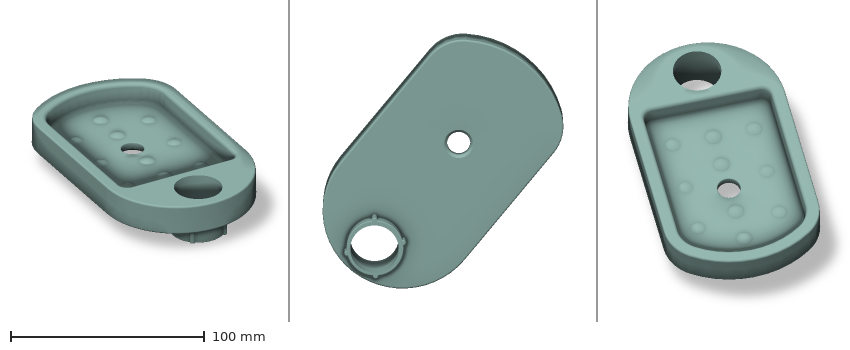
import cadquery as cq
import math


length = 142.0
width = 82.0
tray_height = 16.0
outer_draft = 1.0
outer_edge_fillet = 1.0
back_radius = 55.0
back_corner_radius = 22.0

wall = 7.0
pocket_end_x = 51.0
pocket_depth = 10.5
pocket_draft = 5.0
pocket_corner_radius = 5.0
rim_fillet = 2.0
floor_fillet = 2.0
floor_fall = 0.3

drain_radius = 6.0
drain_edge_fillet = 0.5
drain_chamfer = 1.5

dome_sphere_radius = 8.5
dome_root = 0.8
outer_dome_x = 33.5
inner_dome_x = 15.5
side_dome_x = 5.5
back_side_dome_x = -21.4
dome_row_y = 21.7
middle_domes = [
    (-outer_dome_x, 4.3),
    (-inner_dome_x, 4.1),
    (inner_dome_x, 4.15),
    (outer_dome_x, 4.4),
]
side_domes = [
    (back_side_dome_x, 3.95),
    (side_dome_x, 3.8),
    (outer_dome_x, 4.1),
]

bore_x = 69.0
bore_radius = 12.5
socket_x = 68.5
socket_radius = 14.7
socket_height = 9.0
socket_edge_fillet = 0.5
rib_radius = 1.4
rib_ring_radius = 14.75
rib_angle = 40.0

pick_margin = 0.05

half_width = width / 2
front_centre_x = length - back_radius - half_width
pocket_half_width = half_width - wall
wall_foot_z = tray_height - pocket_depth
drain_z = wall_foot_z - floor_fall
dome_floor_z = (wall_foot_z + drain_z) / 2

corner_centre_y = half_width - back_corner_radius
corner_centre_x = -math.sqrt((back_radius - back_corner_radius) ** 2 - corner_centre_y**2)
corner_angle = math.atan2(corner_centre_y, corner_centre_x)


def polar(radius, angle):
    """X and Y of a point at an angle in radians."""
    return (radius * math.cos(angle), radius * math.sin(angle))


def edges_at_height(solid, z, x_min, x_max, y_max):
    """Edges lying flat at height z inside a rectangle symmetric about the X axis."""
    low = (x_min, -y_max, z - pick_margin)
    high = (x_max, y_max, z + pick_margin)
    return solid.edges(cq.selectors.BoxSelector(low, high, boundingbox=True))


def back_outline(inset):
    """Back end from the +Y side round to the -Y side, moved inwards by inset, at the tray top."""
    mid_x, mid_y = polar(back_corner_radius - inset, (math.pi / 2 + corner_angle) / 2)
    mid_x += corner_centre_x
    mid_y += corner_centre_y
    join_x, join_y = polar(back_radius - inset, corner_angle)
    side_y = half_width - inset
    return (
        cq.Workplane("XY", origin=(0, 0, tray_height))
        .moveTo(corner_centre_x, side_y)
        .threePointArc((mid_x, mid_y), (join_x, join_y))
        .threePointArc((inset - back_radius, 0), (join_x, -join_y))
        .threePointArc((mid_x, -mid_y), (corner_centre_x, -side_y))
    )


def tray_body():
    """Drafted block with a half-round front end and rounded top and bottom edges."""
    front_tip = (front_centre_x + half_width, 0)
    body = (
        back_outline(0)
        .lineTo(front_centre_x, -half_width)
        .threePointArc(front_tip, (front_centre_x, half_width))
        .close()
        .extrude(-tray_height, taper=-outer_draft)
    )
    return body.faces("<Z or >Z").edges().fillet(outer_edge_fillet)


def pocket_walls():
    """Drafted cavity down to the foot of the wall, with two rounded front corners."""
    walls = (
        back_outline(wall)
        .lineTo(pocket_end_x, -pocket_half_width)
        .lineTo(pocket_end_x, pocket_half_width)
        .close()
        .extrude(-pocket_depth, taper=pocket_draft)
    )
    front_corners = cq.selectors.BoxSelector(
        (pocket_end_x - wall, -half_width, wall_foot_z + pick_margin),
        (pocket_end_x + wall, half_width, tray_height - pick_margin),
    )
    return walls.edges(front_corners).edges("not #Z").fillet(pocket_corner_radius)


def drain_arc(edge):
    """Arc of the drain circle lying radially inside one edge of the wall foot."""
    start = edge.startPoint()
    end = edge.endPoint()
    start_angle = math.atan2(start.y, start.x)
    turn = math.atan2(end.y, end.x) - start_angle
    sweep = (turn + math.pi) % (2 * math.pi) - math.pi
    angles = [start_angle, start_angle + sweep / 2, start_angle + sweep]
    points = [cq.Vector(*polar(drain_radius, angle), drain_z) for angle in angles]
    return cq.Edge.makeThreePointArc(*points)


def sloping_floor(wall_foot):
    """Ruled funnel from the foot of the pocket wall down to the drain circle."""
    drain_edge = cq.Wire.assembleEdges([drain_arc(edge) for edge in wall_foot])
    return cq.Workplane(cq.Solid.makeLoft([wall_foot, drain_edge], ruled=True))


def pocket():
    """Whole cavity: drafted walls, sloping floor and the fillet between them."""
    walls = pocket_walls()
    wall_foot = walls.faces("<Z").wires().val()
    cavity = walls.union(sloping_floor(wall_foot))
    return edges_at_height(cavity, wall_foot_z, -back_radius, pocket_end_x, half_width).fillet(floor_fillet)


def cut_pocket(body):
    """Sink the pocket and round its rim."""
    body = body.cut(pocket())
    rim_half_width = half_width - wall / 2
    rim = edges_at_height(
        body, tray_height, wall / 2 - back_radius, pocket_end_x + wall / 2, rim_half_width
    )
    return rim.fillet(rim_fillet)


def cut_drain(body):
    """Drill the drain hole, round its upper edge and chamfer its lower edge."""
    body = body.cut(cq.Workplane("XY").circle(drain_radius).extrude(tray_height))
    reach = 2 * drain_radius
    body = edges_at_height(body, drain_z, -reach, reach, reach).fillet(drain_edge_fillet)
    return edges_at_height(body, 0, -reach, reach, reach).chamfer(drain_chamfer)


def socket():
    """Round post with four ribs along its outside."""
    post = cq.Workplane("XY").center(socket_x, 0).circle(socket_radius).extrude(-socket_height)
    for angle in (rib_angle, 180 - rib_angle, 180 + rib_angle, 360 - rib_angle):
        rib_x, rib_y = polar(rib_ring_radius, math.radians(angle))
        rib = cq.Workplane("XY").center(socket_x + rib_x, rib_y).circle(rib_radius)
        post = post.union(rib.extrude(-socket_height))
    return post.faces("<Z").edges().fillet(socket_edge_fillet)


def socket_bore():
    """Straight hole through the socket and the tray above it."""
    bore = cq.Workplane("XY", origin=(bore_x, 0, -socket_height)).circle(bore_radius)
    return bore.extrude(socket_height + tray_height)


def dome(x, y, foot_radius):
    """Top of a sphere that meets the floor in a circle of foot_radius."""
    centre_depth = math.sqrt(dome_sphere_radius**2 - foot_radius**2)
    above_root = (
        cq.Workplane("XY", origin=(0, 0, centre_depth - dome_root))
        .circle(dome_sphere_radius)
        .extrude(dome_sphere_radius)
    )
    cap = cq.Workplane("XY").sphere(dome_sphere_radius).intersect(above_root)
    return cap.translate((x, y, dome_floor_z - centre_depth))


def add_domes(body):
    """One row of domes along the X axis and one on each side of it."""
    for x, foot_radius in middle_domes:
        body = body.union(dome(x, 0, foot_radius))
    for x, foot_radius in side_domes:
        for y in (-dome_row_y, dome_row_y):
            body = body.union(dome(x, y, foot_radius))
    return body


tray = cut_drain(cut_pocket(tray_body()))
tray = tray.union(socket()).cut(socket_bore())
result = add_domes(tray)